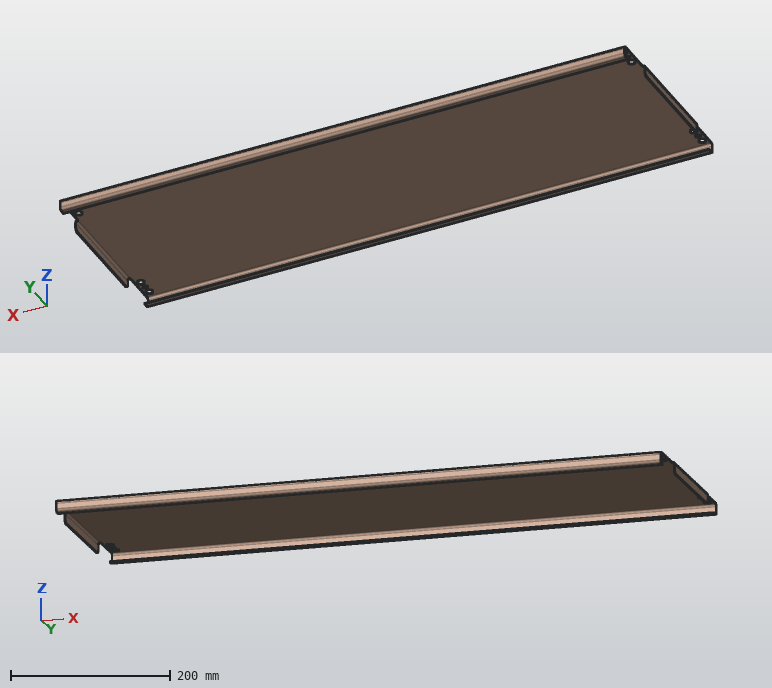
import cadquery as cq

length = 799.0
width = 250.0
height = 15.0

sheet = 1.2
bend_radius = 4.0
inner_radius = bend_radius - sheet
lip_width = 10.0

tab_width = 147.0
tab_corner_radius = 5.5
panel_length = length - 2 * bend_radius

hole_x = 387.5
slot_y = 100.0
hole_pitch = 12.0
hole_diameter = 9.5
slot_length = 7.0
slot_width = 5.0


def make_channel():
    """Flat panel with both long edges folded down and back inwards."""
    outer = (
        cq.Workplane("XY")
        .box(panel_length, width, height, centered=(True, True, False))
        .edges("|X")
        .fillet(bend_radius)
    )
    inner = (
        cq.Workplane("XY")
        .workplane(offset=sheet)
        .box(panel_length, width - 2 * sheet, height - 2 * sheet, centered=(True, True, False))
        .edges("|X")
        .fillet(inner_radius)
    )
    opening = cq.Workplane("XY").box(
        panel_length, width - 2 * lip_width, 2 * bend_radius
    )
    return outer.cut(inner).cut(opening)


def make_end_tab():
    """Tab at the +X end, bent down from the panel, with rounded lower corners."""
    bend_start = panel_length / 2
    outside = length / 2
    tab = (
        cq.Workplane("XZ")
        .moveTo(bend_start, height)
        .radiusArc((outside, height - bend_radius), bend_radius)
        .lineTo(outside, 0)
        .lineTo(outside - sheet, 0)
        .lineTo(outside - sheet, height - bend_radius)
        .radiusArc((bend_start, height - sheet), -inner_radius)
        .close()
        .extrude(tab_width / 2, both=True)
    )
    return tab.faces("<Z").edges("|X").fillet(tab_corner_radius)


def make_hole_cutter():
    """Two round holes and a slot between them at each corner, through the panel only."""
    round_holes = [
        (x, side * (slot_y + offset))
        for x in (-hole_x, hole_x)
        for side in (-1, 1)
        for offset in (-hole_pitch, hole_pitch)
    ]
    slots = [(x, y) for x in (-hole_x, hole_x) for y in (-slot_y, slot_y)]
    panel_underside = cq.Workplane("XY").workplane(offset=height - sheet)
    cutter = panel_underside.pushPoints(round_holes).circle(hole_diameter / 2).extrude(sheet)
    return cutter.union(panel_underside.pushPoints(slots).slot2D(slot_length, slot_width).extrude(sheet))


end_tab = make_end_tab()
result = (
    make_channel()
    .union(end_tab)
    .union(end_tab.mirror("YZ"))
    .cut(make_hole_cutter())
    .translate((0, 0, -height / 2))
)